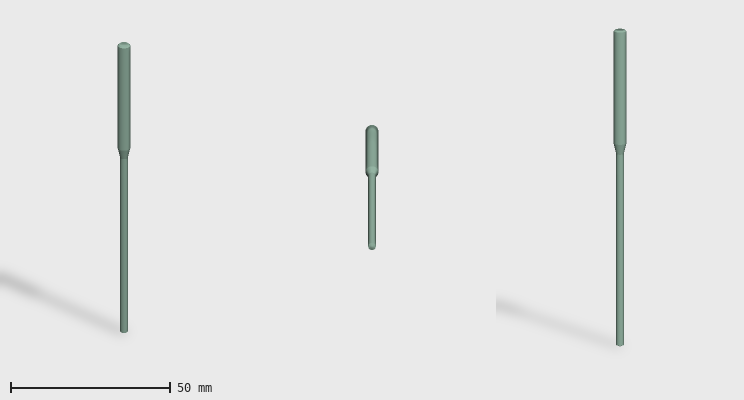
import cadquery as cq
import math

total_length = 102.0
cutting_length = 55.5
taper_start = 62.0
shank_start = 65.4

drill_diameter = 2.4
shank_diameter = 4.0
shank_chamfer = 0.4
point_angle = 140.0

drill_radius = drill_diameter / 2
shank_radius = shank_diameter / 2
point_height = drill_radius / math.tan(math.radians(point_angle / 2))


def revolve_profile(points):
    """Revolve a closed (radius, height) outline around the Z axis."""
    return cq.Workplane("XZ").polyline(points).close().revolve(360, (0, 0, 0), (0, 1, 0))


def make_cutting_part():
    """Cutting length: plain cylinder with a conical drill point."""
    return revolve_profile([
        (0, 0),
        (drill_radius, point_height),
        (drill_radius, cutting_length),
        (0, cutting_length),
    ])


def make_shank():
    """Neck of the drill's diameter, widening taper and chamfered clamping shank."""
    return revolve_profile([
        (0, cutting_length),
        (drill_radius, cutting_length),
        (drill_radius, taper_start),
        (shank_radius, shank_start),
        (shank_radius, total_length - shank_chamfer),
        (shank_radius - shank_chamfer, total_length),
        (0, total_length),
    ])


cutting_part = make_cutting_part()
shank = make_shank()

result = cq.Compound.makeCompound([cutting_part.val(), shank.val()])